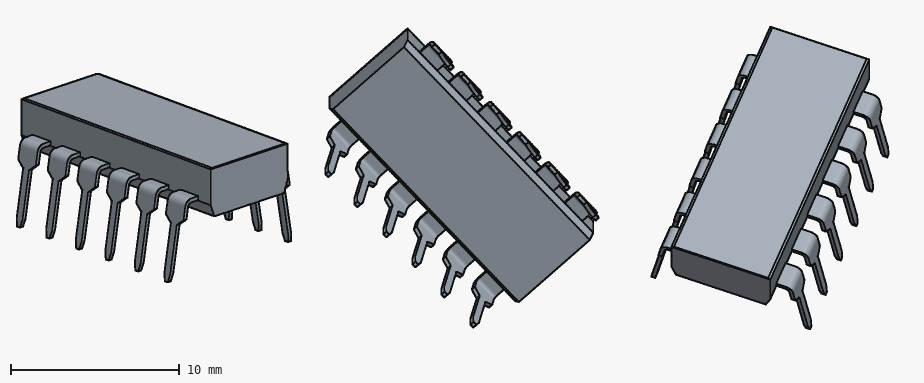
import cadquery as cq
import math

body_length = 16.28
body_width = 6.285
body_height = 3.1
lower_bevel_height = 0.78
lower_bevel_inset = 0.29
top_step_height = 0.05
top_inset_x = 0.05
top_inset_y = 0.15

leads_per_side = 6
lead_pitch = 2.54
lead_row_offset = -0.05
lead_span = 10.09
lead_thickness = 0.254
lead_top_below_body_top = 2.03
overall_height = 7.18
lead_splay = math.radians(10)
bend_inner_radius = 0.254
shoulder_width = 1.524
neck_width = 0.508
tip_width = 0.254
shoulder_drop = 1.23
neck_drop = 1.645
tip_taper_height = 0.52
lead_embed = 0.5

tip_z = body_height - overall_height
lead_top_z = body_height - lead_top_below_body_top
bend_outer_radius = bend_inner_radius + lead_thickness
bend_angle = math.pi / 2 - lead_splay
bend_center_z = lead_top_z - bend_outer_radius
bend_end_z = bend_center_z + bend_outer_radius * math.cos(bend_angle)
bend_center_y = (
    lead_span / 2
    - (bend_end_z - tip_z) * math.tan(lead_splay)
    - bend_outer_radius * math.sin(bend_angle)
)


def make_body():
    """Block with bevelled lower long edges and a slightly tapered top."""
    half_width = body_width / 2
    bottom_half_width = half_width - lower_bevel_inset
    block_top_z = body_height - top_step_height
    block = (
        cq.Workplane("YZ")
        .polyline([
            (-bottom_half_width, 0),
            (bottom_half_width, 0),
            (half_width, lower_bevel_height),
            (half_width, block_top_z),
            (-half_width, block_top_z),
            (-half_width, lower_bevel_height),
        ])
        .close()
        .extrude(body_length / 2, both=True)
    )
    top = (
        cq.Workplane("XY")
        .workplane(offset=block_top_z)
        .rect(body_length, body_width)
        .workplane(offset=top_step_height)
        .rect(body_length - 2 * top_inset_x, body_width - 2 * top_inset_y)
        .loft(ruled=True)
    )
    return block.union(top)


def bend_point(radius, angle):
    """Point (y, z) on the bend, with the angle measured from straight up."""
    y = bend_center_y + radius * math.sin(angle)
    z = bend_center_z + radius * math.cos(angle)
    return y, z


def tip_point(radius):
    """Point (y, z) at tip level on the face that leaves the bend at this radius."""
    y, z = bend_point(radius, bend_angle)
    return y + (z - tip_z) * math.tan(lead_splay), tip_z


def make_bent_strip():
    """Full-width lead strip on the +Y side, bent down and splayed outwards."""
    root_y = body_width / 2 - lead_embed
    return (
        cq.Workplane("YZ")
        .moveTo(root_y, lead_top_z)
        .lineTo(bend_center_y, lead_top_z)
        .threePointArc(
            bend_point(bend_outer_radius, bend_angle / 2),
            bend_point(bend_outer_radius, bend_angle),
        )
        .lineTo(*tip_point(bend_outer_radius))
        .lineTo(*tip_point(bend_inner_radius))
        .lineTo(*bend_point(bend_inner_radius, bend_angle))
        .threePointArc(
            bend_point(bend_inner_radius, bend_angle / 2),
            bend_point(bend_inner_radius, 0),
        )
        .lineTo(root_y, lead_top_z - lead_thickness)
        .close()
        .extrude(shoulder_width / 2, both=True)
    )


def make_lead_outline():
    """Prism along Y with the lead's shoulder, neck and tapered tip outline."""
    right_edge = [
        (shoulder_width / 2, lead_top_z),
        (shoulder_width / 2, lead_top_z - shoulder_drop),
        (neck_width / 2, lead_top_z - neck_drop),
        (neck_width / 2, tip_z + tip_taper_height),
        (tip_width / 2, tip_z),
    ]
    left_edge = [(-x, z) for x, z in reversed(right_edge)]
    return (
        cq.Workplane("XZ")
        .polyline(right_edge + left_edge)
        .close()
        .extrude(-lead_span)
    )


def make_part():
    """Body with a row of identical leads along each long side."""
    part = make_body()
    back_lead = make_bent_strip().intersect(make_lead_outline())
    front_lead = back_lead.mirror("XZ")
    first_x = lead_row_offset - lead_pitch * (leads_per_side - 1) / 2
    for index in range(leads_per_side):
        lead_x = first_x + index * lead_pitch
        for lead in (back_lead, front_lead):
            part = part.union(lead.translate((lead_x, 0, 0)))
    return part


result = make_part()